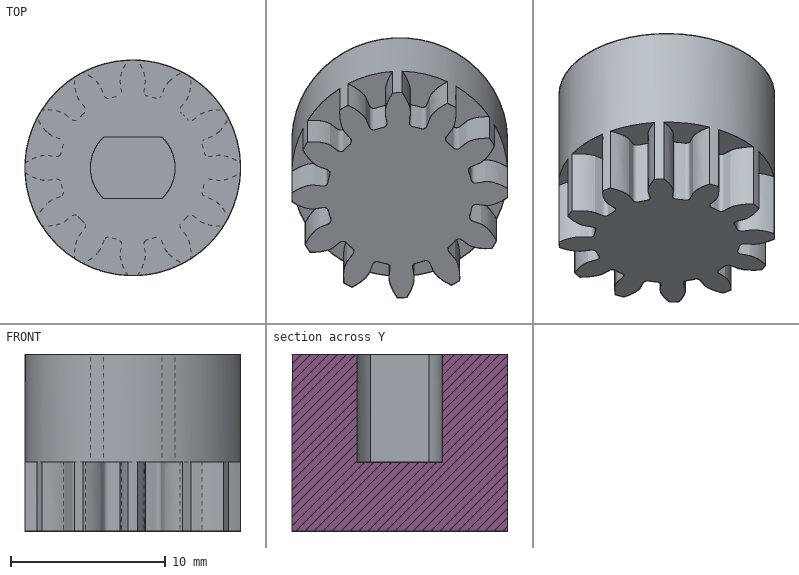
import cadquery as cq
import math

outer_diameter = 14
total_height = 11.5
collar_height = 7
socket_diameter = 5.5
socket_width = 4.0
socket_depth = collar_height

tooth_count = 12
pressure_angle = math.radians(20)
dedendum_factor = 1.25
root_fillet = 0.3
flank_points = 7
tooth_height = total_height - collar_height

tip_radius = outer_diameter / 2
gear_module = outer_diameter / (tooth_count + 2)
pitch_radius = gear_module * tooth_count / 2
root_radius = pitch_radius - dedendum_factor * gear_module
base_radius = pitch_radius * math.cos(pressure_angle)
tooth_pitch = 2 * math.pi / tooth_count


def involute(angle):
    return math.tan(angle) - angle


def polar(radius, angle):
    return (radius * math.cos(angle), radius * math.sin(angle))


def half_tooth_angle(radius):
    """Half the angle a tooth spans at a radius on its involute flank."""
    roll_angle = math.acos(base_radius / radius)
    return tooth_pitch / 4 + involute(pressure_angle) - involute(roll_angle)


def flank(center_angle, side):
    """Involute points from base circle to tip; side is -1 or +1 about the tooth centre."""
    radius_step = (tip_radius - base_radius) / (flank_points - 1)
    radii = [base_radius + i * radius_step for i in range(flank_points)]
    return [polar(r, center_angle + side * half_tooth_angle(r)) for r in radii]


def make_pinion():
    """Toothed lower end, with radial flanks below the base circle and rounded roots."""
    base_half_angle = half_tooth_angle(base_radius)
    profile = cq.Workplane("XY").moveTo(*polar(root_radius, -base_half_angle))
    for tooth in range(tooth_count):
        center = tooth * tooth_pitch
        rising = flank(center, -1)
        falling = flank(center, 1)[::-1]
        next_root = center + tooth_pitch - base_half_angle
        profile = (
            profile.lineTo(*rising[0])
            .spline(rising[1:], includeCurrent=True)
            .threePointArc(polar(tip_radius, center), falling[0])
            .spline(falling[1:], includeCurrent=True)
            .lineTo(*polar(root_radius, center + base_half_angle))
            .threePointArc(polar(root_radius, center + tooth_pitch / 2), polar(root_radius, next_root))
        )
    pinion = profile.close().extrude(tooth_height)

    def is_root_corner(edge):
        middle = edge.Center()
        return math.hypot(middle.x, middle.y) < (root_radius + base_radius) / 2

    return pinion.edges("|Z").filter(is_root_corner).fillet(root_fillet)


def make_socket():
    """Blind double-flat socket, open at the top, with its flats facing along Y."""
    round_bore = cq.Workplane("XY").circle(socket_diameter / 2).extrude(socket_depth)
    flats = cq.Workplane("XY").rect(socket_diameter, socket_width).extrude(socket_depth)
    return round_bore.intersect(flats).translate((0, 0, total_height - socket_depth))


collar = cq.Workplane("XY").workplane(offset=tooth_height).circle(outer_diameter / 2).extrude(collar_height)
result = make_pinion().union(collar).cut(make_socket())